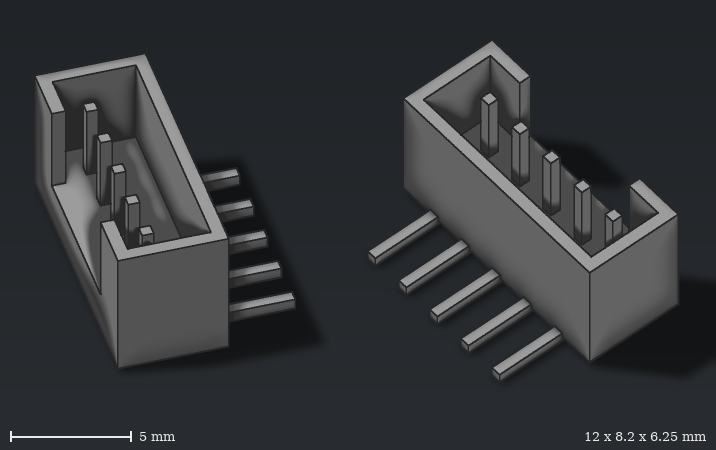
import cadquery as cq

housing_length = 12.0
housing_depth = 4.8
housing_height = 6.0
wall = 0.6
floor_height = 2.0
front_opening_width = 7.02

pin_count = 5
pin_pitch = housing_length / (pin_count + 1)
pin_size = 0.5
pin_front = 1.57
pin_top = 5.5
tail_end = 8.2
tail_bottom = -pin_size / 2


def box_at(x_center, y_start, z_start, x_size, y_size, z_size):
    """Box centred in X, growing toward +Y and +Z from its start faces."""
    return (
        cq.Workplane("XY")
        .box(x_size, y_size, z_size, centered=(True, False, False))
        .translate((x_center, y_start, z_start))
    )


def make_housing():
    """Box with a cavity and a front opening that share one floor."""
    open_height = housing_height - floor_height
    cavity_length = housing_length - 2 * wall
    cavity_depth = housing_depth - 2 * wall
    body = box_at(0, 0, 0, housing_length, housing_depth, housing_height)
    cavity = box_at(0, wall, floor_height, cavity_length, cavity_depth, open_height)
    opening = box_at(0, 0, floor_height, front_opening_width, wall, open_height)
    return body.cut(cavity).cut(opening)


def make_pin(x_center):
    """Upright leg in the cavity joined to a tail leaving at the rear."""
    leg = box_at(x_center, pin_front, tail_bottom, pin_size, pin_size, pin_top - tail_bottom)
    tail = box_at(x_center, pin_front, tail_bottom, pin_size, tail_end - pin_front, pin_size)
    return leg.union(tail)


result = make_housing()
for index in range(pin_count):
    pin_x = (index - (pin_count - 1) / 2) * pin_pitch
    result = result.union(make_pin(pin_x))